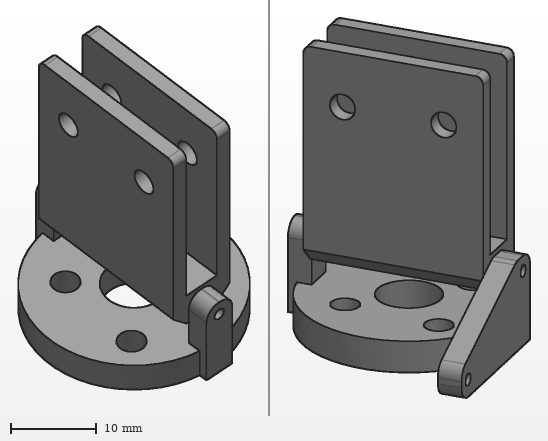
import cadquery as cq
import math


disc_diameter = 27.0
disc_thickness = 4.0
bore_diameter = 8.0
mount_hole_diameter = 3.5
inner_mount_radius = 8.0
outer_mount_radius = 9.5

overall_width = 29.0
lug_thickness = 3.0
lug_half_depth = 2.05
lug_height = 11.5
lug_radius = 2.0
arm_reach = 17.93
arm_tip_height = 4.0
arm_hole_y = 16.0
arm_hole_z = 2.25

pivot_height = 9.55
pin_hole_diameter = 1.5

clevis_height = 35.5
side_clearance = 0.1
clevis_half_depth = 4.5
plate_thickness = 2.05
clevis_bottom = 7.45
slot_floor = 12.05
plate_corner_radius = 1.0
plate_hole_diameter = 3.2
plate_hole_spacing = 12.85
plate_hole_height = 28.55

outer_x = overall_width / 2
inner_x = outer_x - lug_thickness
slot_half_depth = clevis_half_depth - plate_thickness
clevis_left_x = -inner_x + side_clearance
clevis_width = inner_x - clevis_left_x
clevis_center_x = (inner_x + clevis_left_x) / 2


def x_cylinder(diameter, y, z, x_start, length):
    """Cylinder along X, used to cut the hinge and arm holes."""
    plane = cq.Workplane("YZ", origin=(x_start, y, z))
    return plane.circle(diameter / 2).extrude(length)


def profile_along_x(points, x_start, length):
    """Extrude a closed (y, z) outline along X."""
    return cq.Workplane("YZ", origin=(x_start, 0, 0)).polyline(points).close().extrude(length)


def make_disc():
    disc = cq.Workplane("XY").circle(disc_diameter / 2).extrude(disc_thickness)
    bore = cq.Workplane("XY").circle(bore_diameter / 2).extrude(disc_thickness)
    return disc.cut(bore)


def mount_holes():
    """Two diagonal pairs of holes, each pair on its own pitch radius."""
    inner = inner_mount_radius * math.sqrt(0.5)
    outer = outer_mount_radius * math.sqrt(0.5)
    places = [(inner, inner), (-inner, -inner), (-outer, outer), (outer, -outer)]
    return cq.Workplane("XY").pushPoints(places).circle(mount_hole_diameter / 2).extrude(disc_thickness)


def make_arm_lug():
    """Left lug, extended towards +Y as a tapering lever arm."""
    outline = [
        (-lug_half_depth, 0),
        (-lug_half_depth, lug_height),
        (lug_radius, lug_height),
        (arm_reach, arm_tip_height),
        (arm_reach, 0),
    ]
    lug = profile_along_x(outline, -outer_x, lug_thickness)
    lug = lug.edges("|X").edges(">Z or >Y").fillet(lug_radius)
    return lug.cut(x_cylinder(pin_hole_diameter, arm_hole_y, arm_hole_z, -outer_x, lug_thickness))


def make_plain_lug():
    """Right lug with a rounded top."""
    outline = [
        (-lug_half_depth, 0),
        (-lug_half_depth, lug_height),
        (lug_half_depth, lug_height),
        (lug_half_depth, 0),
    ]
    lug = profile_along_x(outline, inner_x, lug_thickness)
    return lug.edges("|X and >Z").fillet(lug_radius)


def hinge_hole():
    return x_cylinder(pin_hole_diameter, 0, pivot_height, -outer_x, overall_width)


def make_base():
    base = make_disc().union(make_arm_lug()).union(make_plain_lug())
    return base.cut(mount_holes()).cut(hinge_hole())


def make_clevis():
    """Two upright plates joined by a block with chamfered lower edges."""
    outline = [
        (-slot_half_depth, clevis_bottom),
        (-clevis_half_depth, clevis_bottom + plate_thickness),
        (-clevis_half_depth, clevis_height),
        (-slot_half_depth, clevis_height),
        (-slot_half_depth, slot_floor),
        (slot_half_depth, slot_floor),
        (slot_half_depth, clevis_height),
        (clevis_half_depth, clevis_height),
        (clevis_half_depth, clevis_bottom + plate_thickness),
        (slot_half_depth, clevis_bottom),
    ]
    clevis = profile_along_x(outline, clevis_left_x, clevis_width)
    clevis = clevis.edges("|Y and >Z").fillet(plate_corner_radius)
    plate_holes = (
        cq.Workplane("XZ", origin=(clevis_center_x, 0, plate_hole_height))
        .pushPoints([(-plate_hole_spacing / 2, 0), (plate_hole_spacing / 2, 0)])
        .circle(plate_hole_diameter / 2)
        .extrude(clevis_half_depth, both=True)
    )
    return clevis.cut(plate_holes).cut(hinge_hole())


base = make_base()
clevis = make_clevis()

result = cq.Compound.makeCompound([base.solids().val(), clevis.solids().val()])